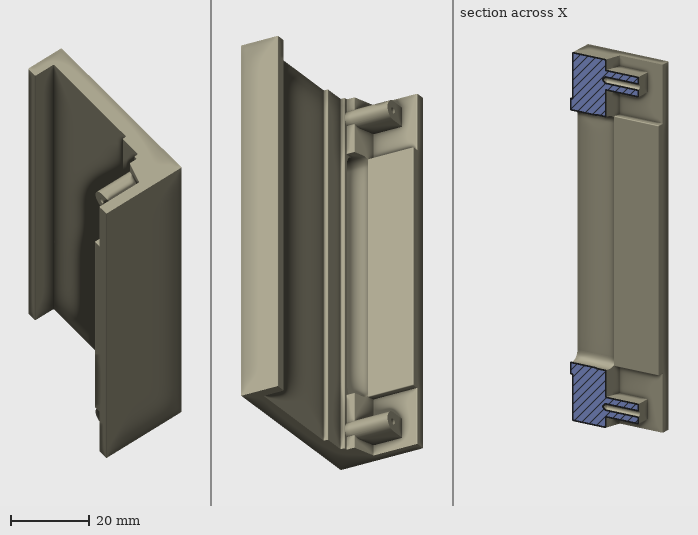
import cadquery as cq

LENGTH = 100.0
WIDTH = 49.7
DEPTH = 24.5

LIP_WIDTH = 3.0
WALL = 2.9
LIP_DEPTH = 10.9
PLATE_THICKNESS = 4.9
STEP_X = 33.0
STEP_THICKNESS = 6.1
LEDGE_X = 39.4
LEDGE_THICKNESS = 7.3
BLOCK_X = 40.4
BLOCK_DEPTH = 9.6
BLOCK_ROOT_DEPTH = 11.5
WALL_X = WIDTH - WALL
ROUNDING = 0.25

RIB_X = 44.9
RIB_END = 16.0
RIB_ROOT_DEPTH = 11.0

SLOT_X = 40.6
SLOT_WIDTH = 5.0
SLOT_END = 15.6

PAD_X = 36.1
PAD_WIDTH = 11.0
PAD_HEIGHT = 0.6
PAD_END = 12.5

BOSS_X = 42.2
BOSS_RADIUS = 2.7
BOSS_END = 5.6
BOSS_DEPTH = 20.0
HOLE_DIAMETER = 1.6
HOLE_DEPTH = 10.0


def box(x_range, y_range, z_range):
    """Axis-aligned box between pairs of limits."""
    sizes = [high - low for low, high in (x_range, y_range, z_range)]
    corner = (x_range[0], y_range[0], z_range[0])
    return cq.Workplane("XY").box(*sizes, centered=False).translate(corner)


def stadium(x_range, end, y_front, y_back):
    """Upright round-ended bar along Y, its ends set in from both ends of the part."""
    width = x_range[1] - x_range[0]
    center_x = (x_range[0] + x_range[1]) / 2
    return (
        cq.Workplane("XZ", origin=(center_x, y_back, LENGTH / 2))
        .slot2D(LENGTH - 2 * end, width, 90)
        .extrude(y_back - y_front)
    )


def body():
    """Full-length angle section with a lip on its -X edge."""
    outline = [
        (0, 0),
        (WIDTH, 0),
        (WIDTH, -DEPTH),
        (WALL_X, -DEPTH),
        (WALL_X, -BLOCK_ROOT_DEPTH),
        (BLOCK_X, -BLOCK_DEPTH),
        (BLOCK_X, -LEDGE_THICKNESS),
        (LEDGE_X, -LEDGE_THICKNESS),
        (LEDGE_X, -STEP_THICKNESS),
        (STEP_X, -STEP_THICKNESS),
        (STEP_X, -PLATE_THICKNESS),
        (LIP_WIDTH, -PLATE_THICKNESS),
        (LIP_WIDTH, -LIP_DEPTH),
        (0, -LIP_DEPTH),
    ]
    section = cq.Workplane("XY").polyline(outline).close().extrude(LENGTH)
    return section.edges("|Z and (not >Y)").fillet(ROUNDING)


def rib():
    """Thickened middle of the side wall, rooted inside the wall, with rounded exposed edges."""
    bar = box(
        (RIB_X, WIDTH - WALL / 2),
        (-DEPTH, -RIB_ROOT_DEPTH),
        (RIB_END, LENGTH - RIB_END),
    )
    return bar.edges("<Y or (<X and |Y)").fillet(ROUNDING)


def boss(z):
    """Half-round boss reaching forward from the ledge, joined to the side wall."""
    length = BOSS_DEPTH - LEDGE_THICKNESS
    base = cq.Workplane("XZ", origin=(BOSS_X, -LEDGE_THICKNESS, z))
    web = box(
        (BOSS_X, WALL_X),
        (-BOSS_DEPTH, -LEDGE_THICKNESS),
        (z - BOSS_RADIUS, z + BOSS_RADIUS),
    )
    return base.circle(BOSS_RADIUS).extrude(length).union(web)


def boss_hole(z):
    """Blind screw hole in the front of a boss, with a conical tip."""
    radius = HOLE_DIAMETER / 2
    bottom = (BOSS_X, -BOSS_DEPTH + HOLE_DEPTH, z)
    shaft = cq.Workplane("XZ", origin=bottom).circle(radius).extrude(HOLE_DEPTH)
    tip = cq.Solid.makeCone(radius, 0, radius, pnt=bottom, dir=(0, 1, 0))
    return shaft.union(cq.Workplane(tip))


result = body()

result = result.union(stadium((PAD_X, PAD_X + PAD_WIDTH), PAD_END, 0, PAD_HEIGHT))
result = result.cut(stadium((SLOT_X, SLOT_X + SLOT_WIDTH), SLOT_END, -BLOCK_ROOT_DEPTH, PAD_HEIGHT))

result = result.cut(
    box(
        (LEDGE_X, SLOT_X + SLOT_WIDTH / 2),
        (-BLOCK_ROOT_DEPTH, -LEDGE_THICKNESS),
        (SLOT_END, LENGTH - SLOT_END),
    )
)

result = result.union(rib())

for boss_z in (BOSS_END, LENGTH - BOSS_END):
    result = result.union(boss(boss_z)).cut(boss_hole(boss_z))